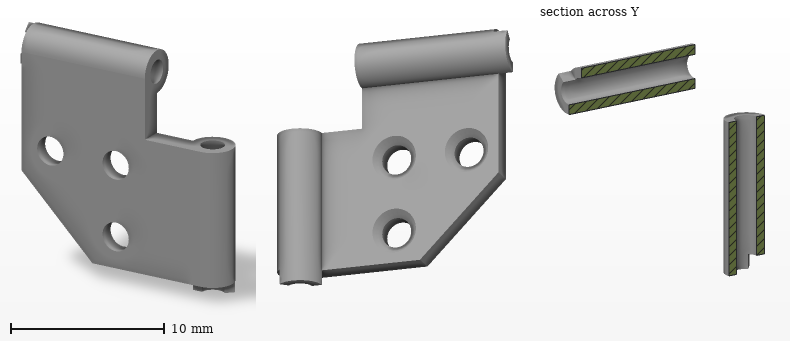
import cadquery as cq


overall_size = 16.2
knuckle_diameter = 3.0
bore_diameter = 1.62
knuckle_length = 9.43
tab_length = 1.0
corner_cut = 5.42
hole_diameter = 2.0
countersink_depth = 0.5
hole_near = 2.2
hole_pitch = 5.0

knuckle_radius = knuckle_diameter / 2
bore_radius = bore_diameter / 2
plate_thickness = knuckle_radius
axis_offset = overall_size - tab_length - knuckle_radius
hole_far = hole_near + hole_pitch
hole_centers = [(hole_near, hole_far), (hole_far, hole_far), (hole_far, hole_near)]


def make_plate():
    """L-shaped plate with a cut corner, reaching to both knuckle axes."""
    outline = [
        (corner_cut, 0),
        (axis_offset, 0),
        (axis_offset, knuckle_length),
        (knuckle_length, knuckle_length),
        (knuckle_length, axis_offset),
        (0, axis_offset),
        (0, corner_cut),
    ]
    return cq.Workplane("XZ").polyline(outline).close().extrude(plate_thickness)


top_frame = cq.Plane(origin=(0, 0, axis_offset), xDir=(0, 1, 0), normal=(1, 0, 0))
right_frame = cq.Plane(origin=(axis_offset, 0, 0), xDir=(0, 1, 0), normal=(0, 0, -1))
knuckles = [(top_frame, 1), (right_frame, -1)]


def make_rod(frame, direction, radius):
    """Cylinder on the knuckle axis, spanning the knuckle and its stop tab."""
    tab_end_plane = cq.Workplane(frame).workplane(offset=-direction * tab_length)
    return tab_end_plane.circle(radius).extrude(direction * (tab_length + knuckle_length))


def make_tab_relief(frame, direction):
    """Block beyond the plate's edge that leaves only the tab's part of the ring.

    The tab is kept from the direction of the plate's middle round to 45 degrees past +Y.
    """
    reach = knuckle_diameter
    outline = [(0, 0), (reach, reach), (-reach, reach), (-reach, -reach), (0, -reach)]
    return cq.Workplane(frame).polyline(outline).close().extrude(-direction * tab_length)


def make_screw_hole(x, z):
    """Through hole along Y, flared at 45 degrees where it meets the +Y face."""
    hole_radius = hole_diameter / 2
    section = [
        (0, 0),
        (hole_radius + countersink_depth, 0),
        (hole_radius, -countersink_depth),
        (hole_radius, -plate_thickness),
        (0, -plate_thickness),
    ]
    hole = cq.Workplane("XY").polyline(section).close().revolve(360, (0, 0, 0), (0, 1, 0))
    return hole.translate((x, 0, z))


result = make_plate()
for frame, direction in knuckles:
    result = result.union(make_rod(frame, direction, knuckle_radius))
    result = result.cut(make_tab_relief(frame, direction))
    result = result.cut(make_rod(frame, direction, bore_radius))
for hole_x, hole_z in hole_centers:
    result = result.cut(make_screw_hole(hole_x, hole_z))